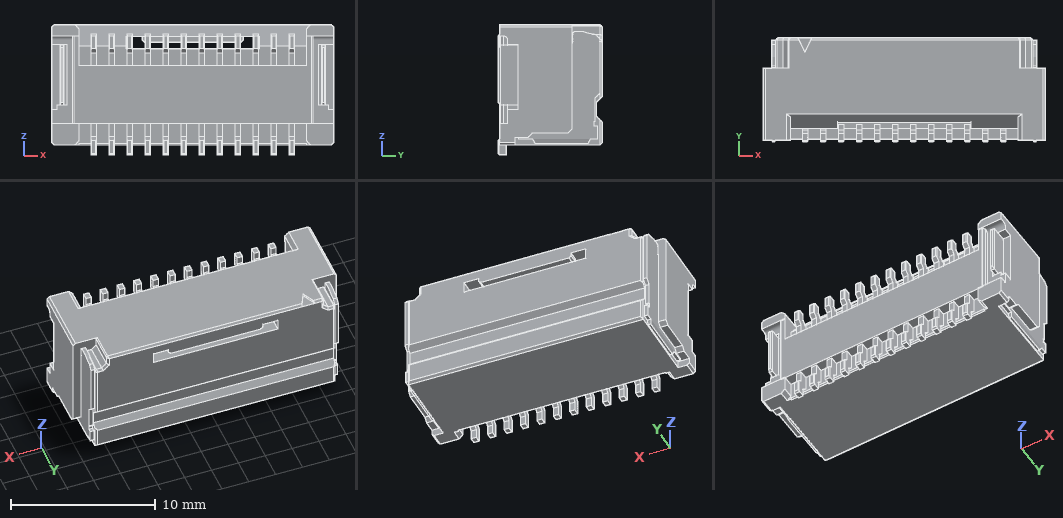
import cadquery as cq

WIDTH = 19.6
DEPTH = 7.13
HEIGHT = 8.37
TOTAL_HEIGHT = 9.05
CORE_HALF = 8.94
EDGE_CHAMFER = 0.18
FLANGE_DEPTH = 5.02
FLANGE_BOTTOM = 0.82
FLANGE_BEVEL = 0.3
FLANGE_STEP_Y = 1.96
FOOT_DEPTH = 1.05
FOOT_HEIGHT = 1.5

RECESS_HALF = 7.9
RECESS_DEPTH = 0.8
PANEL_TOP = 5.53
PANEL_SETBACK = 0.05
FUNNEL_DEPTH = 1.82
FUNNEL_BOTTOM = 6.88
MOUTH_CHAMFER = 0.3
BOTTOM_EDGE_CHAMFER = 0.1

WINDOW_HALF = 4.63
WINDOW_BOTTOM = 6.7
WINDOW_TOP = 7.53
BAR_HALF = 3.5
BAR_BOTTOM = 7.13
BAR_DEPTH = 0.78
BAR_CORNER = 0.15

SIDE_INNER = 8.23
SIDE_CHAMFER_WIDTH = 0.12
SIDE_CHAMFER_DEPTH = 0.25
SIDE_DEPTH = 0.55
SIDE_TOP = 7.57
SIDE_RADIUS = 0.27
POCKET_INNER = 8.75
POCKET_DEPTH = 1.25
POCKET_BOTTOM = 2.78
POCKET_TOP = 7.0
POCKET_STEP_X = 9.43
POCKET_STEP_BOTTOM = 2.47

SHOULDER_INNER = 8.08
SHOULDER_OUTER = 8.43
SHOULDER_EDGE = 8.84
SHOULDER_TOP = 7.68
SHOULDER_FLOOR = 7.37
TOP_CHAMFER_WIDTH = 0.08
TOP_CHAMFER_DROP = 0.12
REAR_CHAMFER = 0.15
NOTCH_DEPTH = 0.41
NOTCH_BOTTOM = 1.59
NOTCH_TOP = 3.37
MARK_X = -6.9
MARK_HALF = 0.49
MARK_LENGTH = 1.02

PROUD = 0.12
NAIL_INNER = CORE_HALF
NAIL_OUTER = 9.21
NAIL_BOTTOM = 2.78
NAIL_TOP = 6.94
NAIL_CHAMFER = 0.18
NAIL_SIDE_CHAMFER = 0.05
PLATE_BOTTOM = 0.41
PLATE_TOP = 7.88
PLATE_FRONT = 1.3
PLATE_ROOT = 4.5
PLATE_NECK = 5.05
PLATE_NECK_BOTTOM = 7.08
PLATE_TOP_FRONT = 5.17
PLATE_RAMP_FRONT = 5.78
PLATE_RAMP_REAR = 6.25
PLATE_RAMP_BOTTOM = 7.75
PLATE_CORNER = 6.66
PLATE_REAR = 6.95
PLATE_WAIST = 6.6
PLATE_WAIST_TOP = 3.25
PLATE_NICK = 6.55
PLATE_NICK_BOTTOM = 1.31
PLATE_NICK_TOP = 1.63
PLATE_LOWER_REAR = 6.8
TAB_FRONT = 2.3
TAB_REAR = 6.3
TAB_TAPER = 0.15
TAB_BOTTOM = 0.12
TAB_LEAN = 0.08

PIN_COUNT = 12
PIN_ROW = 13.75
PIN_PITCH = PIN_ROW / (PIN_COUNT - 1)
PIN_WIDTH = 0.4
PIN_THICKNESS = 0.59
PIN_JOG = 0.31
PIN_SIDE_CHAMFER = 0.05
PIN_TIP_CHAMFER = 0.12
PIN_TOP = 7.7
PIN_JOG_TOP = 6.7
PIN_BOTTOM = HEIGHT - TOTAL_HEIGHT
PIN_JOG_BOTTOM = 0.33
PIN_LOWER_RISE = 0.27
PIN_EMBED = 0.2
PIN_ARM_FRONT = 0.7
PIN_ARM_REAR = 1.1

SIDES = (-1, 1)


def box(x0, x1, y0, y1, z0, z1):
    """Axis-aligned block between two opposite corners, with X in either order."""
    return cq.Workplane("XY").box(abs(x1 - x0), y1 - y0, z1 - z0, centered=False).translate(
        (min(x0, x1), y0, z0)
    )


def side_profile(points, x0, x1):
    """Extrude a closed (Y, Z) outline from x0 to x1."""
    return cq.Workplane("YZ").polyline(points).close().extrude(x1 - x0).translate((x0, 0, 0))


def front_profile(points, y0, y1):
    """Extrude a closed (X, Z) outline from y0 to y1."""
    return cq.Workplane("XZ").polyline(points).close().extrude(y0 - y1).translate((0, y0, 0))


def plan_profile(points, z0, z1):
    """Extrude a closed (X, Y) outline from z0 to z1."""
    return cq.Workplane("XY").polyline(points).close().extrude(z1 - z0).translate((0, 0, z0))


def housing_blank():
    """Core block with the side flanges, whose underside steps down to the front feet."""
    flanges = side_profile(
        [
            (0, 0), (0, HEIGHT), (FLANGE_DEPTH, HEIGHT),
            (FLANGE_DEPTH, FLANGE_BOTTOM + FLANGE_BEVEL),
            (FLANGE_DEPTH - FLANGE_BEVEL, FLANGE_BOTTOM),
            (FLANGE_STEP_Y + FLANGE_BEVEL, FLANGE_BOTTOM),
            (FLANGE_STEP_Y, FLANGE_BOTTOM - FLANGE_BEVEL),
            (FOOT_DEPTH, FLANGE_BOTTOM - FLANGE_BEVEL), (FOOT_DEPTH, 0),
        ],
        -WIDTH / 2,
        WIDTH / 2,
    )
    flanges = flanges.edges("|Y").edges("<X or >X").edges("<Z or >Z").chamfer(EDGE_CHAMFER)
    core = box(-CORE_HALF, CORE_HALF, 0, DEPTH, 0, HEIGHT).edges(">Y and <Z").chamfer(EDGE_CHAMFER)
    return core.union(flanges)


def cut_shoulders(body):
    """Stepped shoulders at the upper rear corners, then the chamfered rim of the rear face."""
    for side in SIDES:
        outline = [
            (side * (SHOULDER_INNER - TOP_CHAMFER_WIDTH), HEIGHT),
            (side * SHOULDER_INNER, HEIGHT - TOP_CHAMFER_DROP),
            (side * SHOULDER_INNER, SHOULDER_TOP),
            (side * SHOULDER_OUTER, SHOULDER_FLOOR),
            (side * SHOULDER_EDGE, SHOULDER_FLOOR),
            (side * CORE_HALF, SHOULDER_FLOOR - EDGE_CHAMFER),
            (side * CORE_HALF, HEIGHT),
        ]
        body = body.cut(front_profile(outline, FLANGE_DEPTH, DEPTH))
    rim = body.faces(">Y").edges("not <Z")
    return rim.chamfer(REAR_CHAMFER)


def cut_rear_notch(body):
    """V-sided groove running across the whole width of the rear face."""
    notch = side_profile(
        [
            (DEPTH, NOTCH_TOP), (DEPTH - NOTCH_DEPTH, NOTCH_TOP - NOTCH_DEPTH),
            (DEPTH - NOTCH_DEPTH, NOTCH_BOTTOM + NOTCH_DEPTH), (DEPTH, NOTCH_BOTTOM),
        ],
        -CORE_HALF,
        CORE_HALF,
    )
    return body.cut(notch)


def cut_front_openings(body):
    """Funnel-shaped opening at the top and plain opening at the bottom of the front."""
    funnel = side_profile(
        [
            (0, PANEL_TOP), (0, HEIGHT), (FUNNEL_DEPTH, HEIGHT),
            (RECESS_DEPTH, FUNNEL_BOTTOM), (RECESS_DEPTH, PANEL_TOP),
        ],
        -RECESS_HALF - MOUTH_CHAMFER,
        RECESS_HALF + MOUTH_CHAMFER,
    )
    mouth = front_profile(
        [
            (-RECESS_HALF, PANEL_TOP), (-RECESS_HALF, HEIGHT - MOUTH_CHAMFER),
            (-RECESS_HALF - MOUTH_CHAMFER, HEIGHT), (RECESS_HALF + MOUTH_CHAMFER, HEIGHT),
            (RECESS_HALF, HEIGHT - MOUTH_CHAMFER), (RECESS_HALF, PANEL_TOP),
        ],
        0,
        FUNNEL_DEPTH,
    )
    bottom_mouth = front_profile(
        [
            (-RECESS_HALF, FOOT_HEIGHT), (-RECESS_HALF, MOUTH_CHAMFER),
            (-RECESS_HALF - MOUTH_CHAMFER, 0), (RECESS_HALF + MOUTH_CHAMFER, 0),
            (RECESS_HALF, MOUTH_CHAMFER), (RECESS_HALF, FOOT_HEIGHT),
        ],
        0,
        RECESS_DEPTH,
    )
    bottom_edge = side_profile(
        [
            (RECESS_DEPTH, 0), (RECESS_DEPTH, BOTTOM_EDGE_CHAMFER),
            (RECESS_DEPTH + BOTTOM_EDGE_CHAMFER, 0),
        ],
        -RECESS_HALF,
        RECESS_HALF,
    )
    panel_face = box(-SIDE_INNER, SIDE_INNER, 0, PANEL_SETBACK, FOOT_HEIGHT, SIDE_TOP)
    return body.cut(funnel.intersect(mouth)).cut(bottom_mouth).cut(bottom_edge).cut(panel_face)


def cut_window(body):
    """Window through the housing, with a short bar left hanging at its rear end."""
    window = box(-WINDOW_HALF, WINDOW_HALF, RECESS_DEPTH, DEPTH, WINDOW_BOTTOM, WINDOW_TOP)
    bar = box(-BAR_HALF, BAR_HALF, DEPTH - BAR_DEPTH, DEPTH, BAR_BOTTOM, WINDOW_TOP)
    bar = bar.edges("|Y and <Z").chamfer(BAR_CORNER)
    return body.cut(window.cut(bar))


def cut_side_recess(body, side):
    """Recess beside the centre panel, with its stepped nail pocket open to the side."""
    edge = side * WIDTH / 2
    wall = side * (SIDE_INNER + SIDE_CHAMFER_WIDTH)
    recess = box(wall, edge, 0, SIDE_DEPTH, FOOT_HEIGHT, SIDE_TOP)
    recess = recess.edges("|X and >Y and >Z").fillet(SIDE_RADIUS)
    lead_in = plan_profile(
        [(side * SIDE_INNER, 0), (wall, SIDE_CHAMFER_DEPTH), (wall, 0)], FOOT_HEIGHT, SIDE_TOP
    )
    pocket = box(side * POCKET_INNER, edge, 0, POCKET_DEPTH, POCKET_BOTTOM, POCKET_TOP)
    step = box(side * POCKET_STEP_X, edge, 0, POCKET_DEPTH, POCKET_STEP_BOTTOM, POCKET_BOTTOM)
    return body.cut(recess).cut(lead_in).cut(pocket).cut(step)


def cut_mark(body):
    """Triangular first-contact mark sunk into the top face at the rear edge."""
    outline = [
        (MARK_X - MARK_HALF, DEPTH), (MARK_X + MARK_HALF, DEPTH), (MARK_X, DEPTH - MARK_LENGTH)
    ]
    return body.cut(plan_profile(outline, HEIGHT - REAR_CHAMFER, HEIGHT))


def nail(side):
    """Solder nail standing in its pocket, chamfered around the front face."""
    tip = NAIL_CHAMFER - PROUD
    blade = plan_profile(
        [
            (side * NAIL_INNER, POCKET_DEPTH), (side * NAIL_INNER, tip),
            (side * (NAIL_INNER + NAIL_SIDE_CHAMFER), -PROUD),
            (side * (NAIL_OUTER - NAIL_SIDE_CHAMFER), -PROUD),
            (side * NAIL_OUTER, tip), (side * NAIL_OUTER, POCKET_DEPTH),
        ],
        NAIL_BOTTOM,
        NAIL_TOP,
    )
    return blade.edges("<Y and |X").chamfer(NAIL_CHAMFER)


def plate(side):
    """Retaining plate along the rear half of the side, with a leaning tab at its lower edge."""
    inner = side * NAIL_INNER
    outer = side * NAIL_OUTER
    outline = [
        (PLATE_FRONT, FLANGE_BOTTOM), (PLATE_FRONT, PLATE_BOTTOM),
        (PLATE_LOWER_REAR, PLATE_BOTTOM), (PLATE_LOWER_REAR, PLATE_NICK_BOTTOM),
        (PLATE_NICK, PLATE_NICK_BOTTOM), (PLATE_NICK, PLATE_NICK_TOP),
        (PLATE_WAIST, PLATE_NICK_TOP), (PLATE_WAIST, PLATE_WAIST_TOP),
        (PLATE_REAR, PLATE_WAIST_TOP + PLATE_REAR - PLATE_WAIST), (PLATE_REAR, SHOULDER_FLOOR),
        (PLATE_CORNER, SHOULDER_TOP), (PLATE_RAMP_REAR, PLATE_RAMP_BOTTOM),
        (PLATE_RAMP_FRONT, PLATE_TOP), (PLATE_TOP_FRONT, PLATE_TOP),
        (PLATE_NECK, PLATE_TOP - PLATE_TOP_FRONT + PLATE_NECK), (PLATE_NECK, PLATE_NECK_BOTTOM),
        (PLATE_ROOT, PLATE_NECK_BOTTOM), (PLATE_ROOT, FLANGE_BOTTOM),
    ]
    sheet = side_profile(outline, min(inner, outer), max(inner, outer))
    tab = side_profile(
        [
            (TAB_FRONT, PLATE_BOTTOM), (TAB_FRONT + TAB_TAPER, TAB_BOTTOM),
            (TAB_REAR - TAB_TAPER, TAB_BOTTOM), (TAB_REAR, PLATE_BOTTOM),
        ],
        min(inner, outer),
        max(inner, outer),
    )
    lean = front_profile(
        [
            (inner, PLATE_BOTTOM), (outer, PLATE_BOTTOM),
            (outer - side * TAB_LEAN, TAB_BOTTOM), (inner, TAB_BOTTOM),
        ],
        0,
        DEPTH,
    )
    return sheet.union(tab.intersect(lean))


def contact():
    """One contact centred on X = 0: an upper and a lower lead, both jogged forwards."""
    front = -PROUD
    leg = front + PIN_JOG
    back = front + PIN_THICKNESS
    root = RECESS_DEPTH + PIN_EMBED
    panel_inside = PANEL_TOP - PIN_EMBED
    foot_inside = FOOT_HEIGHT + PIN_EMBED
    arm_slope_top = FUNNEL_BOTTOM + PIN_ARM_FRONT - back
    upper = side_profile(
        [
            (root, panel_inside), (leg, panel_inside), (leg, PIN_JOG_TOP - PIN_JOG),
            (front, PIN_JOG_TOP), (front, PIN_TOP), (back, PIN_TOP), (back, arm_slope_top),
            (PIN_ARM_FRONT, FUNNEL_BOTTOM), (PIN_ARM_REAR, FUNNEL_BOTTOM),
            (PIN_ARM_REAR, panel_inside),
        ],
        -PIN_WIDTH / 2,
        PIN_WIDTH / 2,
    )
    lower = side_profile(
        [
            (root, foot_inside), (leg, foot_inside), (leg, PIN_JOG_BOTTOM + PIN_LOWER_RISE),
            (front, PIN_JOG_BOTTOM), (front, PIN_BOTTOM), (back, PIN_BOTTOM),
            (back, 0), (root, root - back),
        ],
        -PIN_WIDTH / 2,
        PIN_WIDTH / 2,
    )
    upper = upper.edges("<Y and >Z").chamfer(PIN_TIP_CHAMFER)
    upper = upper.faces("<Y").edges("|Z").chamfer(PIN_SIDE_CHAMFER)
    lower = lower.edges("<Y and <Z").chamfer(PIN_TIP_CHAMFER)
    lower = lower.faces("<Y").edges("|Z").chamfer(PIN_SIDE_CHAMFER)
    return upper.union(lower)


result = housing_blank()
for cut_feature in (cut_shoulders, cut_rear_notch, cut_front_openings, cut_window, cut_mark):
    result = cut_feature(result)
for side in SIDES:
    result = cut_side_recess(result, side).union(nail(side)).union(plate(side))

pin = contact()
for index in range(PIN_COUNT):
    result = result.union(pin.translate((index * PIN_PITCH - PIN_ROW / 2, 0, 0)))